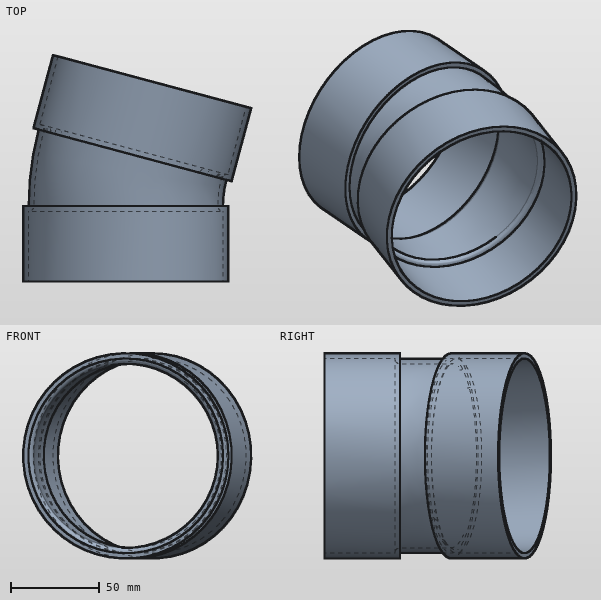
import cadquery as cq
import math

bend_angle = 15
bend_radius = 111.6
socket_length = 42.8
socket_diameter = 116
socket_bore = 110.0

wall = (socket_diameter - socket_bore) / 2
elbow_diameter = socket_bore
elbow_bore = elbow_diameter - 2 * wall

full_angle = math.radians(bend_angle)
half_angle = full_angle / 2


def arc_point(angle):
    """Point on the bend centreline after turning through the angle."""
    return (bend_radius * (1 - math.cos(angle)), bend_radius * math.sin(angle))


def bend(diameter):
    """Solid round bar following the curved centreline."""
    path = cq.Workplane("XY").threePointArc(arc_point(half_angle), arc_point(full_angle))
    return cq.Workplane("XZ").circle(diameter / 2).sweep(path)


end_x, end_y = arc_point(full_angle)
inlet_plane = cq.Plane(origin=(0, 0, 0), xDir=(1, 0, 0), normal=(0, -1, 0))
outlet_plane = cq.Plane(
    origin=(end_x, end_y, 0),
    xDir=(0, 0, 1),
    normal=(math.sin(full_angle), math.cos(full_angle), 0),
)


def socket_body(plane):
    """Solid cylinder extending outward from one end of the bend."""
    return cq.Workplane(plane).circle(socket_diameter / 2).extrude(socket_length)


def socket_cavity(plane):
    """Socket bore narrowing to the elbow bore over a convex quarter-round shoulder."""
    diagonal = wall * math.sqrt(0.5)
    return (
        cq.Workplane(plane)
        .transformed(rotate=(90, 0, 0))
        .lineTo(elbow_bore / 2, 0)
        .threePointArc(
            (socket_bore / 2 - diagonal, diagonal),
            (socket_bore / 2, wall),
        )
        .lineTo(socket_bore / 2, socket_length)
        .lineTo(0, socket_length)
        .close()
        .revolve(360, (0, 0, 0), (0, 1, 0))
    )


outer = bend(elbow_diameter)
cavity = bend(elbow_bore)
for end_plane in (inlet_plane, outlet_plane):
    outer = outer.union(socket_body(end_plane))
    cavity = cavity.union(socket_cavity(end_plane))

result = outer.cut(cavity)